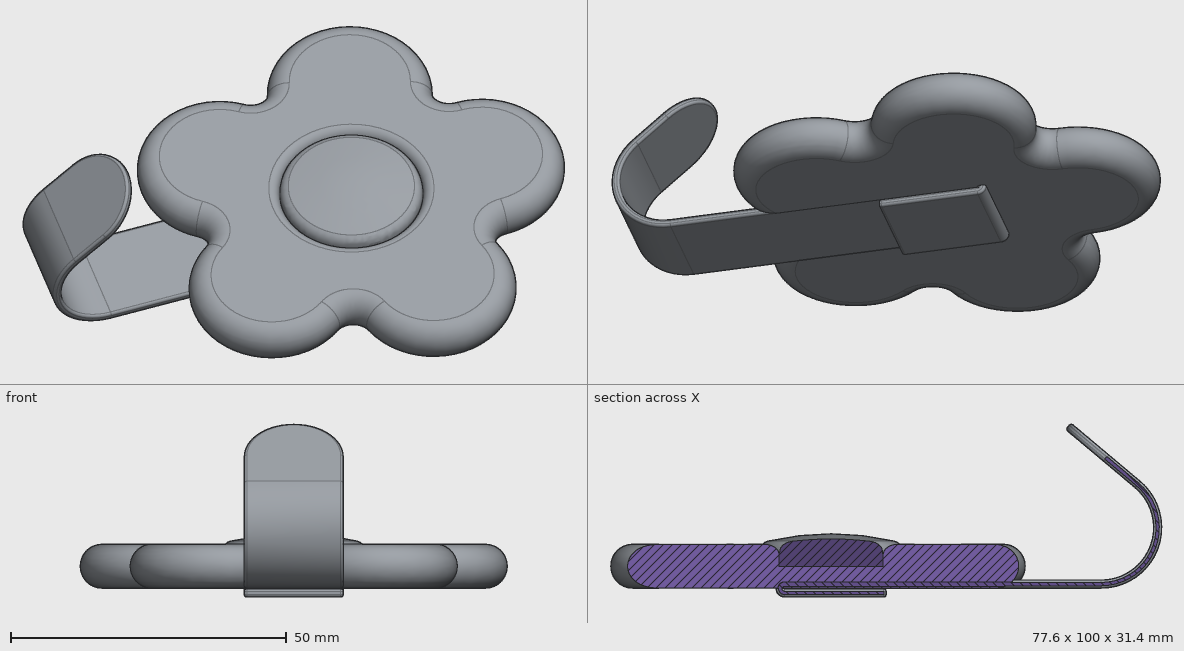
import cadquery as cq
import math

petal_count = 5
petal_radius = 15.0
petal_distance = 25.0
valley_radius = 3.0
flower_thickness = 8.0
rim_radius = flower_thickness / 2

button_radius = 13.0
groove_radius = 2.0
dome_radius = 50.0
dome_height = 1.9
socket_floor = flower_thickness / 2

strip_width = 18.0
strip_thickness = 1.5
strip_edge_radius = 0.5
fold_gap = 0.1
fold_half_length = 10.0
hook_reach = 60.0
bend_radius = 11.0
tip_angle = math.radians(40.0)
tip_length = 16.4

fold_center_z = -fold_gap / 2
fold_inner_radius = fold_gap / 2
fold_outer_radius = fold_inner_radius + strip_thickness
fold_center_y = fold_half_length - fold_outer_radius
lower_leaf_top_z = -fold_gap
lower_leaf_bottom_z = lower_leaf_top_z - strip_thickness

bend_center_y = bend_radius - hook_reach
bend_center_z = bend_radius


def polar(radius, angle, center=(0.0, 0.0)):
    return (center[0] + radius * math.cos(angle), center[1] + radius * math.sin(angle))


def flower_outline(inset):
    """Wire of the flower outline, moved inwards by the inset, at the underside."""
    half_pitch = math.pi / petal_count
    center_gap = petal_radius + valley_radius
    valley_distance = petal_distance * math.cos(half_pitch) + math.sqrt(
        center_gap**2 - (petal_distance * math.sin(half_pitch)) ** 2
    )
    arc_radius = petal_radius - inset
    valley_bottom = valley_distance - valley_radius - inset
    end_angle = math.atan2(
        valley_distance * math.sin(half_pitch),
        valley_distance * math.cos(half_pitch) - petal_distance,
    )
    first_direction = math.pi / 2

    def petal_point(index, angle):
        direction = first_direction + 2 * half_pitch * index
        return polar(arc_radius, direction + angle, polar(petal_distance, direction))

    outline = cq.Workplane("XY").moveTo(*petal_point(0, -end_angle))
    for index in range(petal_count):
        direction = first_direction + 2 * half_pitch * index
        outline = outline.threePointArc(petal_point(index, 0.0), petal_point(index, end_angle))
        valley_middle = polar(valley_bottom, direction + half_pitch)
        outline = outline.threePointArc(valley_middle, petal_point(index + 1, -end_angle))
    return outline.close()


def rounded_flower():
    """Solid flower: a flat core with a half-round rim swept around it."""
    core = flower_outline(rim_radius).extrude(flower_thickness)
    path = flower_outline(rim_radius)
    path_start = path.val().startPoint()
    path_direction = path.val().tangentAt(0)
    outward = path_direction.cross(cq.Vector(0, 0, 1))
    section_plane = cq.Plane(origin=path_start, xDir=outward, normal=-path_direction)
    rim = (
        cq.Workplane(section_plane)
        .threePointArc((rim_radius, rim_radius), (0, flower_thickness))
        .close()
        .sweep(path)
    )
    return core.union(rim)


def make_flower(hook):
    """Flower with the button socket on top and the hook's recess underneath."""
    socket = (
        cq.Workplane("XY")
        .workplane(offset=socket_floor)
        .circle(button_radius)
        .extrude(flower_thickness - socket_floor)
    )
    flower = rounded_flower().cut(socket)
    flower = flower.faces(">Z").edges(cq.selectors.RadiusNthSelector(-1)).fillet(groove_radius)
    return flower.cut(hook)


def make_button():
    """Round button with a spherical top and a rounded shoulder."""
    apex_z = flower_thickness + dome_height
    sphere_center_z = apex_z - dome_radius
    shoulder_z = sphere_center_z + math.sqrt(dome_radius**2 - button_radius**2)
    mid_radius = button_radius / 2
    mid_z = sphere_center_z + math.sqrt(dome_radius**2 - mid_radius**2)
    button = (
        cq.Workplane("XZ")
        .moveTo(0, socket_floor)
        .lineTo(button_radius, socket_floor)
        .lineTo(button_radius, shoulder_z)
        .threePointArc((mid_radius, mid_z), (0, apex_z))
        .close()
        .revolve(360, (0, 0, 0), (0, 1, 0))
    )
    return button.faces(">Z").edges("%CIRCLE").fillet(groove_radius)


def strip_side():
    """Side shape of the bent strip, extruded across the strip's width."""

    def bend_point(radius, turned):
        return polar(radius, -math.pi / 2 - turned, (bend_center_y, bend_center_z))

    inner_radius = bend_radius - strip_thickness
    sweep = math.pi - tip_angle
    along_tip = (tip_length * math.cos(tip_angle), tip_length * math.sin(tip_angle))
    outer_tangent = bend_point(bend_radius, sweep)
    inner_tangent = bend_point(inner_radius, sweep)
    outer_tip = (outer_tangent[0] + along_tip[0], outer_tangent[1] + along_tip[1])
    inner_tip = (inner_tangent[0] + along_tip[0], inner_tangent[1] + along_tip[1])

    return (
        cq.Workplane("YZ")
        .workplane(offset=-strip_width / 2)
        .moveTo(bend_center_y, 0)
        .threePointArc(bend_point(bend_radius, sweep / 2), outer_tangent)
        .lineTo(*outer_tip)
        .lineTo(*inner_tip)
        .lineTo(*inner_tangent)
        .threePointArc(bend_point(inner_radius, sweep / 2), (bend_center_y, strip_thickness))
        .lineTo(fold_center_y, strip_thickness)
        .threePointArc(
            (fold_center_y + fold_outer_radius, fold_center_z), (fold_center_y, lower_leaf_bottom_z)
        )
        .lineTo(-fold_half_length, lower_leaf_bottom_z)
        .lineTo(-fold_half_length, lower_leaf_top_z)
        .lineTo(fold_center_y, lower_leaf_top_z)
        .threePointArc((fold_center_y + fold_inner_radius, fold_center_z), (fold_center_y, 0))
        .close()
        .extrude(strip_width)
    ), outer_tip


def make_hook():
    strip, outer_tip = strip_side()
    tip_plane = cq.Plane(
        origin=(0, outer_tip[0], outer_tip[1]),
        xDir=(1, 0, 0),
        normal=(0, -math.sin(tip_angle), math.cos(tip_angle)),
    )
    half_width = strip_width / 2
    waste = (
        cq.Workplane(tip_plane)
        .moveTo(-half_width, -half_width)
        .threePointArc((0, 0), (half_width, -half_width))
        .lineTo(half_width, 1)
        .lineTo(-half_width, 1)
        .close()
        .extrude(strip_thickness, both=True)
    )
    return strip.cut(waste).edges().fillet(strip_edge_radius)


hook = make_hook()
flower = make_flower(hook)
button = make_button()
result = cq.Compound.makeCompound([flower.val(), hook.val(), button.val()])